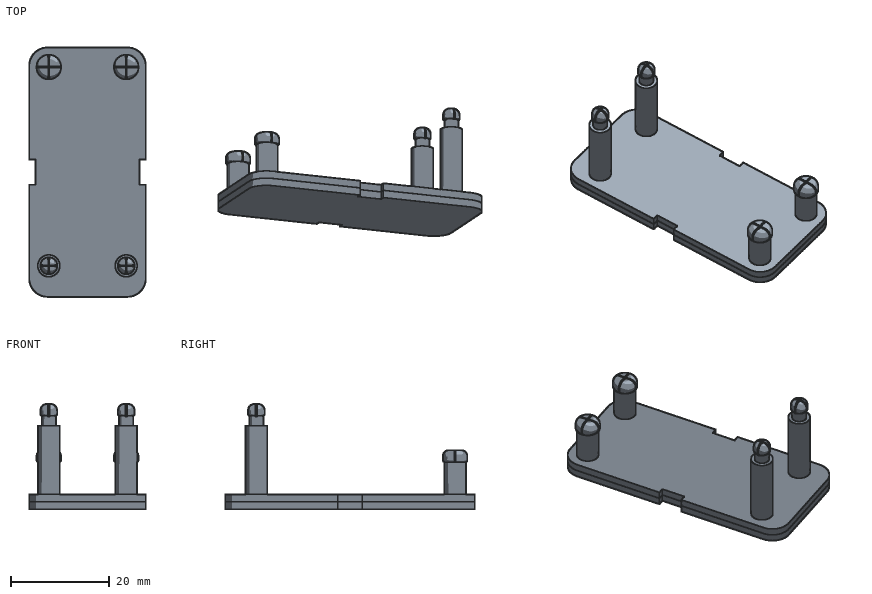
import cadquery as cq

plate_width = 23.75
plate_length = 50.8
plate_thickness = 1.5
corner_radius = 3.8
notch_length = 5.1
notch_depth = 1.25

overall_height = 21.5
post_diameter = 4.45
post_x = 7.85
short_post_inset = 4.0
tall_post_inset = 6.35
short_post_y = plate_length / 2 - short_post_inset
tall_post_y = -plate_length / 2 + tall_post_inset

head_height = 2.45
head_bottom_fillet = 0.4
slot_width = 0.25

short_post_height = 6.6
short_head_diameter = 5.05
short_head_top_fillet = 1.25
short_slot_depth = head_height

tall_post_height = 14.0
neck_diameter = 2.95
tall_head_diameter = 3.45
tall_head_top_fillet = 1.35
tall_slot_depth = 2.55

seam_z = plate_thickness
top_face_z = 2 * plate_thickness
tall_shoulder_z = top_face_z + tall_post_height
tall_head_z = overall_height - head_height
short_head_z = top_face_z + short_post_height


def cylinder(x, y, bottom_z, diameter, height):
    """Upright cylinder whose base is centred at (x, y, bottom_z)."""
    return cq.Workplane("XY").center(x, y).circle(diameter / 2).extrude(height).translate((0, 0, bottom_z))


def plate(bottom_z):
    """Rounded plate with a rectangular notch in the middle of each long side."""
    blank = (
        cq.Workplane("XY")
        .rect(plate_width, plate_length)
        .extrude(plate_thickness)
        .edges("|Z")
        .fillet(corner_radius)
    )
    notches = (
        cq.Workplane("XY")
        .pushPoints([(-plate_width / 2, 0), (plate_width / 2, 0)])
        .rect(2 * notch_depth, notch_length)
        .extrude(plate_thickness)
    )
    return blank.cut(notches).translate((0, 0, bottom_z))


def snap_head(x, y, bottom_z, diameter, top_fillet):
    """Domed head with a flat top and a slightly rounded lower rim."""
    return (
        cylinder(x, y, bottom_z, diameter, head_height)
        .faces(">Z").edges().fillet(top_fillet)
        .faces("<Z").edges().fillet(head_bottom_fillet)
    )


def cross_slots(x, y, top_z, length, depth):
    """Two crossed cutters that split a head into four quarters."""
    slot_x = cq.Workplane("XY").box(length, slot_width, depth, centered=(True, True, False))
    slot_y = cq.Workplane("XY").box(slot_width, length, depth, centered=(True, True, False))
    return slot_x.union(slot_y).translate((x, y, top_z - depth))


def short_post(x):
    """Short post with a wide split head."""
    post = cylinder(x, short_post_y, top_face_z, post_diameter, short_post_height)
    head = snap_head(x, short_post_y, short_head_z, short_head_diameter, short_head_top_fillet)
    head_top_z = short_head_z + head_height
    slots = cross_slots(x, short_post_y, head_top_z, short_head_diameter, short_slot_depth)
    return post.union(head).cut(slots)


def tall_post(x):
    """Tall shouldered post with a neck and a small split head."""
    post = cylinder(x, tall_post_y, top_face_z, post_diameter, tall_post_height)
    neck = cylinder(x, tall_post_y, tall_shoulder_z, neck_diameter, tall_head_z - tall_shoulder_z)
    head = snap_head(x, tall_post_y, tall_head_z, tall_head_diameter, tall_head_top_fillet)
    slots = cross_slots(x, tall_post_y, overall_height, tall_head_diameter, tall_slot_depth)
    return post.union(neck).union(head).cut(slots)


def post_plate():
    """Upper plate carrying all four posts."""
    body = plate(seam_z)
    for x in (-post_x, post_x):
        body = body.union(short_post(x)).union(tall_post(x))
    return body


base_plate = plate(0)
upper_plate = post_plate()

result = cq.Compound.makeCompound([base_plate.val(), upper_plate.val()])